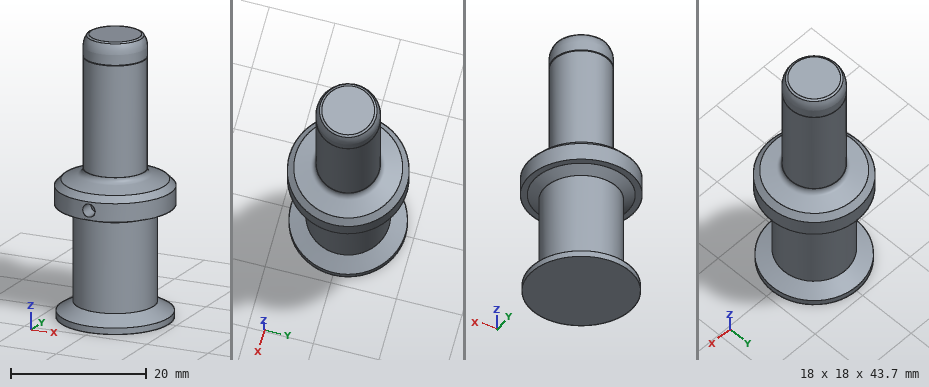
import cadquery as cq
import math

total_height = 43.7

flange_radius = 8.75
flange_rim_height = 1.0
body_radius = 6.25
cone_angle = math.radians(30)
flange_top = flange_rim_height + (flange_radius - body_radius) * math.tan(cone_angle)

collar_radius = 8.98
collar_bottom = 17.5
collar_rim_height = 2.85
collar_chamfer = 0.95
underside_radius = 7.95
collar_top = collar_bottom + collar_rim_height
shoulder_radius = collar_radius - collar_chamfer
shoulder_z = collar_top + collar_chamfer
underside_z = collar_bottom - (underside_radius - body_radius) * math.tan(cone_angle)

shaft_radius = 4.7
neck_top_radius = 4.75
neck_top = 23.0
neck_base_radius = 5.5
neck_base = 22.02
neck_run = neck_base_radius - neck_top_radius
neck_drop = neck_top - neck_base
neck_arc_radius = (neck_run**2 + neck_drop**2) / (2 * neck_run)

head_radius = 4.75
head_bottom = 40.25
head_bevel = 0.15
nose_start_z = 41.9
nose_end_radius = 4.25
nose_end_z = 43.53
top_face_radius = 3.9

hole_radius = 1.0
hole_z = 18.95


def turned_body():
    """Revolve the half outline, given as (radius, height), about Z."""
    return (
        cq.Workplane("XZ")
        .lineTo(flange_radius, 0)
        .lineTo(flange_radius, flange_rim_height)
        .lineTo(body_radius, flange_top)
        .lineTo(body_radius, underside_z)
        .lineTo(underside_radius, collar_bottom)
        .lineTo(collar_radius, collar_bottom)
        .lineTo(collar_radius, collar_top)
        .lineTo(shoulder_radius, shoulder_z)
        .lineTo(neck_base_radius, neck_base)
        .radiusArc((neck_top_radius, neck_top), neck_arc_radius)
        .lineTo(shaft_radius, neck_top)
        .lineTo(shaft_radius, head_bottom)
        .lineTo(head_radius, head_bottom + head_bevel)
        .lineTo(head_radius, nose_start_z)
        .tangentArcPoint((nose_end_radius, nose_end_z), relative=False)
        .lineTo(top_face_radius, total_height)
        .lineTo(0, total_height)
        .close()
        .revolve(360, (0, 0, 0), (0, 1, 0))
    )


def collar_hole():
    """Cutter for the hole entering the collar from -Y."""
    bore = (
        cq.Workplane("XZ")
        .center(0, hole_z)
        .circle(hole_radius)
        .extrude(collar_radius)
    )
    core = cq.Workplane("XY").circle(body_radius).extrude(total_height)
    return bore.cut(core)


result = turned_body().cut(collar_hole())